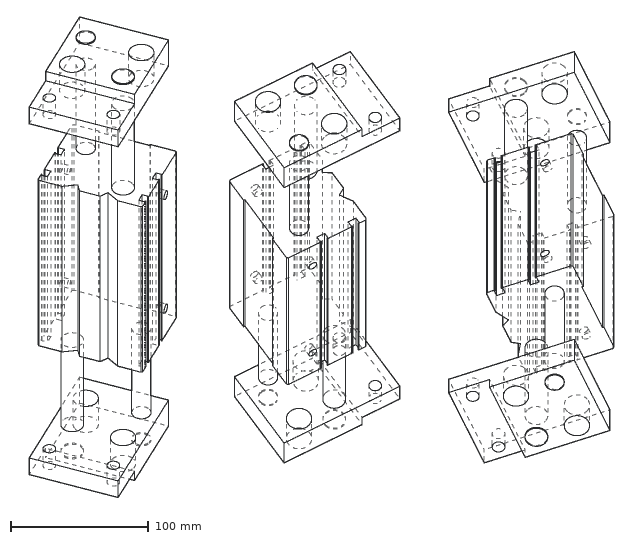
import cadquery as cq


TOTAL_HEIGHT = 370.0
BODY_WIDTH = 82.0
BODY_DEPTH = 68.0
BODY_HEIGHT = 157.5
EDGE_CHAMFER = 1.0

PLATE_WIDTH = 70.0
PLATE_BACK = -1.0
PLATE_FRONT = -100.0
PLATE_THICKNESS = 24.8
TAB_LENGTH = 32.2
TAB_THICKNESS = 16.0
TAB_HOLE_DIAMETER = 9.2
TAB_HOLE_X = 25.0
TAB_HOLE_FROM_FRONT = 15.0

ROD_PROUD = 1.0
SLIM_ROD_DIAMETER = 14.0
SLIM_ROD_X = -22.0
SLIM_ROD_Y = -22.0
THICK_ROD_DIAMETER = 16.5
THICK_ROD_X = 20.0
THICK_ROD_Y = -53.0
PLATE_HOLE_DIAMETER = 18.5

V_OUTER_X = 22.0
V_ROOT_X = 12.0
V_INNER_X = 8.0
V_DEPTH = 6.0

RELIEF_WIDTH = 40.5
RELIEF_DEPTH = 1.0

SLOT_YS = (-32.0, -58.5)
SLOT_MOUTH = 4.8
SLOT_INNER = 6.5
SLOT_LIP = 0.55
SLOT_DEPTH = 5.0

PORT_DIAMETER = 6.5
PORT_DEPTH = 6.0
PORT_TIP_LENGTH = 2.0
PORT_Z = 54.0

PLATE_TOP = TOTAL_HEIGHT / 2 - ROD_PROUD
PLATE_BOTTOM = PLATE_TOP - PLATE_THICKNESS


def half_turn(shape):
    """Turn a shape 180 degrees about the Y axis."""
    return shape.rotate((0, 0, 0), (0, 1, 0), 180)


def upright_box(width, y_front, y_back, height):
    """Box centred on X and Z, spanning the given Y range."""
    box = cq.Workplane("XY").box(width, y_back - y_front, height)
    return box.translate((0, (y_front + y_back) / 2, 0))


def upright_cylinder(diameter, x, y, z_bottom, z_top):
    base = cq.Workplane("XY", origin=(x, y, z_bottom))
    return base.circle(diameter / 2).extrude(z_top - z_bottom)


def body_prism(points):
    """Prism over the full body height with the given XY outline."""
    base = cq.Workplane("XY", origin=(0, 0, -BODY_HEIGHT / 2))
    return base.polyline(points).close().extrude(BODY_HEIGHT)


def v_groove():
    root_y = -BODY_DEPTH + V_DEPTH
    return body_prism([(V_OUTER_X, -BODY_DEPTH), (V_ROOT_X, root_y), (V_INNER_X, -BODY_DEPTH)])


def t_slot(y):
    """T-slot cutter for the +X side."""
    side = BODY_WIDTH / 2
    mouth = upright_box(2 * SLOT_DEPTH, y - SLOT_MOUTH / 2, y + SLOT_MOUTH / 2, BODY_HEIGHT)
    inner_width = SLOT_DEPTH - SLOT_LIP
    inner = upright_box(inner_width, y - SLOT_INNER / 2, y + SLOT_INNER / 2, BODY_HEIGHT)
    inner_x = side - SLOT_LIP - inner_width / 2
    return mouth.translate((side, 0, 0)).union(inner.translate((inner_x, 0, 0)))


def port(z):
    """Drilled hole with a conical tip for the +X side."""
    side = BODY_WIDTH / 2
    radius = PORT_DIAMETER / 2
    profile = [
        (side, 0),
        (side, radius),
        (side - PORT_DEPTH, radius),
        (side - PORT_DEPTH - PORT_TIP_LENGTH, 0),
    ]
    drill = cq.Workplane("XY").polyline(profile).close().revolve(360, (0, 0, 0), (1, 0, 0))
    return drill.translate((0, SLIM_ROD_Y, z))


def make_body():
    body = upright_box(BODY_WIDTH, -BODY_DEPTH, 0, BODY_HEIGHT)
    body = body.edges("|Z").chamfer(EDGE_CHAMFER)
    body = body.cut(upright_box(RELIEF_WIDTH, -RELIEF_DEPTH, 0, BODY_HEIGHT))
    cutters = [v_groove()]
    cutters += [t_slot(y) for y in SLOT_YS]
    cutters += [port(z) for z in (-PORT_Z, PORT_Z)]
    for cutter in cutters:
        body = body.cut(cutter).cut(half_turn(cutter))
    return body


def make_top_plate():
    """Stepped plate; the front tab is thinner and shares the plate's underside."""
    tab_back = PLATE_FRONT + TAB_LENGTH
    tab_top = PLATE_BOTTOM + TAB_THICKNESS
    outline = [
        (PLATE_FRONT, PLATE_BOTTOM),
        (PLATE_BACK, PLATE_BOTTOM),
        (PLATE_BACK, PLATE_TOP),
        (tab_back, PLATE_TOP),
        (tab_back, tab_top),
        (PLATE_FRONT, tab_top),
    ]
    plate = cq.Workplane("YZ").polyline(outline).close().extrude(PLATE_WIDTH / 2, both=True)
    tab_hole_y = PLATE_FRONT + TAB_HOLE_FROM_FRONT
    holes = [
        (TAB_HOLE_DIAMETER, -TAB_HOLE_X, tab_hole_y),
        (TAB_HOLE_DIAMETER, TAB_HOLE_X, tab_hole_y),
        (PLATE_HOLE_DIAMETER, -SLIM_ROD_X, SLIM_ROD_Y),
        (PLATE_HOLE_DIAMETER, -THICK_ROD_X, THICK_ROD_Y),
    ]
    for diameter, x, y in holes:
        plate = plate.cut(upright_cylinder(diameter, x, y, PLATE_BOTTOM, PLATE_TOP))
    return plate


def make_top_rods():
    """Rod pair from the middle of the body to just above the top plate."""
    rod_top = TOTAL_HEIGHT / 2
    slim = upright_cylinder(SLIM_ROD_DIAMETER, SLIM_ROD_X, SLIM_ROD_Y, 0, rod_top)
    thick = upright_cylinder(THICK_ROD_DIAMETER, THICK_ROD_X, THICK_ROD_Y, 0, rod_top)
    return slim.union(thick)


top_assembly = make_top_plate().union(make_top_rods())
result = make_body().union(top_assembly).union(half_turn(top_assembly))